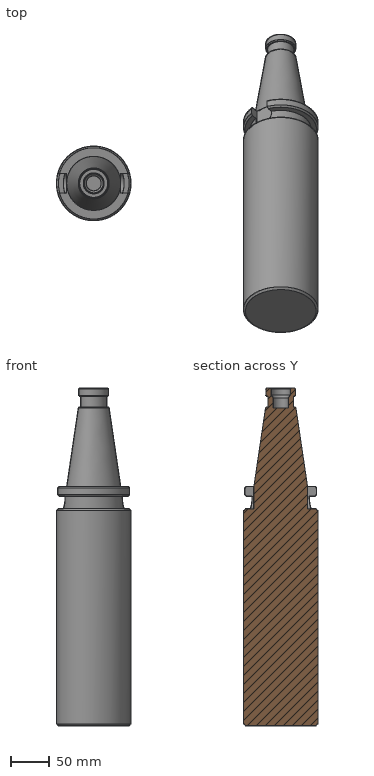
import cadquery as cq

total_height = 442.0
knob_height = 11.0
taper_top = total_height - 24.7
flange_top = 313.2
flange_thickness = 13.3
body_top = 284.0

body_radius = 48.8
collar_radius = 39.8
taper_base_radius = 35.5
taper_slope = 7 / 48
neck_radius = 17.2
knob_radius = 19.65

body_chamfer = 2.5
flange_chamfer = 2.0
small_chamfer = 1.5

bore_radius = 12.5
bore_depth = 9.3
inner_bore_radius = 9.5
step_height = 3.5
inner_bore_length = 13.3

slot_width = 25.5
slot_floor_distance = 35.5


def cylinder(radius, bottom, top):
    return cq.Workplane("XY").workplane(offset=bottom).circle(radius).extrude(top - bottom)


def revolve_profile(profile):
    """Turn a closed (radius, height) outline about the part's Z axis."""
    return cq.Workplane("XZ").polyline(profile).close().revolve(360, (0, 0, 0), (0, 1, 0))


def make_taper():
    top_radius = taper_base_radius - taper_slope * (taper_top - flange_top)
    profile = [
        (0, flange_top),
        (taper_base_radius, flange_top),
        (top_radius, taper_top - small_chamfer),
        (top_radius - small_chamfer, taper_top),
        (0, taper_top),
    ]
    return revolve_profile(profile)


def make_slot(side):
    """Cutter for one drive slot: a flat floor and a round lower end touching the body."""
    half_width = slot_width / 2
    arc_center = body_top + half_width
    return (
        cq.Workplane("YZ", origin=(side * slot_floor_distance, 0, 0))
        .moveTo(-half_width, flange_top)
        .lineTo(-half_width, arc_center)
        .threePointArc((0, body_top), (half_width, arc_center))
        .lineTo(half_width, flange_top)
        .close()
        .extrude(side * body_radius)
    )


def make_bore():
    """Cutter for the knob's bore: chamfered mouth, wide bore, conical step and narrow bore."""
    step_top = total_height - bore_depth
    step_bottom = step_top - step_height
    floor = step_bottom - inner_bore_length
    profile = [
        (0, floor),
        (inner_bore_radius, floor),
        (inner_bore_radius, step_bottom),
        (bore_radius, step_top),
        (bore_radius, total_height - small_chamfer),
        (bore_radius + small_chamfer, total_height),
        (0, total_height),
    ]
    return revolve_profile(profile)


body = cylinder(body_radius, 0, body_top).edges().chamfer(body_chamfer)
collar = cylinder(collar_radius, body_top, flange_top)
flange = cylinder(body_radius, flange_top - flange_thickness, flange_top).edges().chamfer(flange_chamfer)
neck = cylinder(neck_radius, taper_top, total_height)
knob = cylinder(knob_radius, total_height - knob_height, total_height).edges().chamfer(small_chamfer)

result = body.union(collar).union(flange)
for side in (-1, 1):
    result = result.cut(make_slot(side))
result = result.union(make_taper()).union(neck).union(knob)
result = result.cut(make_bore())